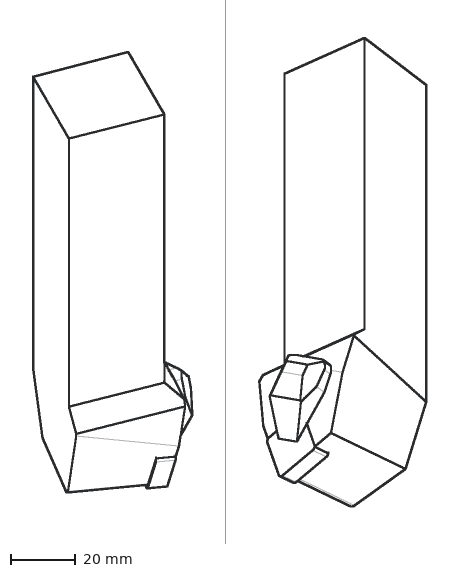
import cadquery as cq
import math

length = 152.4
shank_width = 31.5
shank_depth = 31.7
head_width = 38.0
head_depth = 37.2
flare_top = 41.9
flare_run = 0.93
side_lean = 0.5

relief_start = 12.3
relief_slope = 0.37
relief_skew = 0.03

tip_x = 33.2
tip_y = 31.9
tip_z = -0.26
approach_angle = 14.0
clearance_angle = 6.0
insert_side = 15.8
insert_thickness = 6.4
insert_corner_radius = 1.2
overhang = 0.6
holder_corner_radius = 1.8

clamp_x = 15.4
clamp_z = 33.2
clamp_angle = 31.0
clamp_half_width = 9.0
clamp_crown_half_width = 4.9
clamp_nose_half_width = 3.0
clamp_taper_start = 9.1
clamp_length = 29.9
clamp_top = 43.6
clamp_back_top = 40.1
clamp_base = 30.5
clamp_crown_start = 3.8
clamp_crown_end = 7.6
clamp_ramp_start = 15.2
clamp_ramp_top = 41.9
clamp_corner_radius = 3.2

oversize = 3 * length


def tool_plane():
    """Rake plane at the tip: local x and y point out through the two flanks."""
    turn = math.radians(approach_angle)
    tilt = math.tan(math.radians(clearance_angle))
    side = cq.Vector(math.cos(turn), 0, -math.sin(turn))
    end = cq.Vector(-math.sin(turn), 0, -math.cos(turn))
    up = cq.Vector(0, 1, 0)
    return cq.Plane(
        origin=(tip_x, tip_y, tip_z),
        xDir=side - up * tilt,
        normal=up + (side + end) * tilt,
    )


def corner_block(size, thickness, inset, radius):
    """Square block under the rake plane with its rounded corner at the tip."""
    center = -inset - size / 2
    return (
        cq.Workplane(tool_plane())
        .center(center, center)
        .rect(size, size)
        .extrude(-thickness)
        .edges(cq.selectors.ParallelDirSelector(tool_plane().zDir))
        .fillet(radius)
    )


def make_insert():
    return corner_block(insert_side, insert_thickness, 0, insert_corner_radius)


def make_shank():
    """Square shank that flares to the head on the +X and +Y sides."""
    floor = -shank_width
    flare_x_end = flare_top - flare_run * (head_width - shank_width)
    flare_y_end = flare_top - flare_run * (head_depth - shank_depth)
    front_outline = (
        cq.Workplane("XZ")
        .polyline([
            (0, floor), (0, length), (shank_width, length), (shank_width, flare_top),
            (head_width, flare_x_end), (head_width, floor),
        ])
        .close()
        .extrude(-head_depth)
    )
    side_outline = (
        cq.Workplane("YZ")
        .polyline([
            (0, floor), (0, length), (shank_depth, length), (shank_depth, flare_top),
            (head_depth, flare_y_end), (head_depth, floor),
        ])
        .close()
        .extrude(head_width)
    )
    lean_wedge = (
        cq.Workplane("XY", origin=(0, 0, floor))
        .polyline([(0, 0), (side_lean, 0), (0, head_depth)])
        .close()
        .extrude(length - floor)
    )
    return front_outline.intersect(side_outline).cut(lean_wedge)


def relief_block():
    """Everything beyond the sloping plane on the lower -X side."""
    plane = cq.Plane(
        origin=(relief_start, 0, 0),
        xDir=(-relief_slope, 0, 1),
        normal=(-1, relief_skew, -relief_slope),
    )
    return cq.Workplane(plane).rect(oversize, oversize).extrude(length)


def make_clamp():
    """Boss pointing at the tip: bevelled crown, ramped nose, tapering plan."""
    turn = math.radians(clamp_angle)
    axis = cq.Vector(math.sin(turn), 0, -math.cos(turn))
    across = cq.Vector(math.cos(turn), 0, math.sin(turn))
    back = (clamp_x, 0, clamp_z)
    plan = (
        cq.Workplane(cq.Plane(origin=back, xDir=axis, normal=(0, 1, 0)))
        .workplane(offset=clamp_base)
        .polyline([
            (0, -clamp_half_width), (clamp_taper_start, -clamp_half_width),
            (clamp_length, -clamp_nose_half_width), (clamp_length, clamp_nose_half_width),
            (clamp_taper_start, clamp_half_width), (0, clamp_half_width),
        ])
        .close()
        .extrude(clamp_top - clamp_base)
        .edges("|Y")
        .edges(cq.selectors.DirectionMinMaxSelector(axis, directionMax=False))
        .fillet(clamp_corner_radius)
    )
    profile = (
        cq.Workplane(cq.Plane(origin=back, xDir=axis, normal=across))
        .moveTo(0, clamp_base)
        .lineTo(0, clamp_back_top)
        .lineTo(clamp_crown_start, clamp_top)
        .lineTo(clamp_crown_end, clamp_top)
        .lineTo(clamp_ramp_start, clamp_ramp_top)
        .lineTo(clamp_length, clamp_base)
        .close()
        .extrude(clamp_half_width, both=True)
    )
    shoulder = (
        cq.Workplane(cq.Plane(origin=back, xDir=across * -1, normal=axis))
        .polyline([
            (-clamp_half_width, clamp_base), (-clamp_half_width, clamp_back_top),
            (-clamp_crown_half_width, clamp_top), (clamp_crown_half_width, clamp_top),
            (clamp_half_width, clamp_back_top), (clamp_half_width, clamp_base),
        ])
        .close()
        .extrude(clamp_length)
    )
    return plan.intersect(profile).intersect(shoulder)


def make_holder(insert):
    flanks = corner_block(oversize, oversize, overhang, holder_corner_radius)
    body = make_shank().intersect(flanks).cut(relief_block())
    return body.union(make_clamp()).cut(insert)


insert = make_insert()
holder = make_holder(insert)

result = cq.Compound.makeCompound([holder.solids().val(), insert.solids().val()])